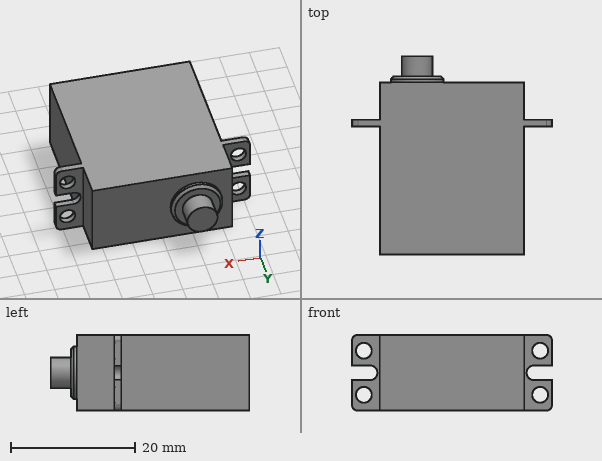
import cadquery as cq

case_length = 23.22
case_depth = 27.7
thickness = 12.2

ear_span = 32.2
ear_thickness = 1.1
ear_setback = 6.02
ear_corner_radius = 0.95
hole_diameter = 2.5
hole_spacing_x = 28.35
hole_spacing_z = 7.1
slot_width = 2.32
slot_depth = 4.1

shaft_x = -5.6
shaft_diameter = 5.0
collar_diameter = 8.5
collar_height = 1.0
collar_chamfer = 0.48
overall_depth = 31.9
shaft_height = overall_depth - case_depth


def make_case():
    """Plain block whose shaft face lies on Y = 0."""
    return cq.Workplane("XY").box(case_length, case_depth, thickness).translate((0, -case_depth / 2, 0))


def make_ears():
    """One plate through the case; its two ends form the ears."""
    plate = (
        cq.Workplane("XZ", origin=(0, -ear_setback, 0))
        .rect(ear_span, thickness)
        .extrude(ear_thickness)
        .edges("|Y")
        .fillet(ear_corner_radius)
    )
    holes = (
        cq.Workplane("XZ", origin=(0, -ear_setback, 0))
        .rect(hole_spacing_x, hole_spacing_z, forConstruction=True)
        .vertices()
        .circle(hole_diameter / 2)
        .extrude(ear_thickness)
    )
    slots = (
        cq.Workplane("XZ", origin=(0, -ear_setback, 0))
        .pushPoints([(-ear_span / 2, 0), (ear_span / 2, 0)])
        .slot2D(2 * slot_depth, slot_width)
        .extrude(ear_thickness)
    )
    return plate.cut(holes).cut(slots)


def make_shaft():
    """Chamfered collar with the output shaft rising from it along +Y."""
    face = cq.Workplane("XZ", origin=(shaft_x, 0, 0))
    collar = face.circle(collar_diameter / 2).extrude(-collar_height)
    collar = collar.faces(">Y").chamfer(collar_chamfer)
    shaft = face.circle(shaft_diameter / 2).extrude(-shaft_height)
    return collar.union(shaft)


result = make_ears().union(make_shaft()).union(make_case())